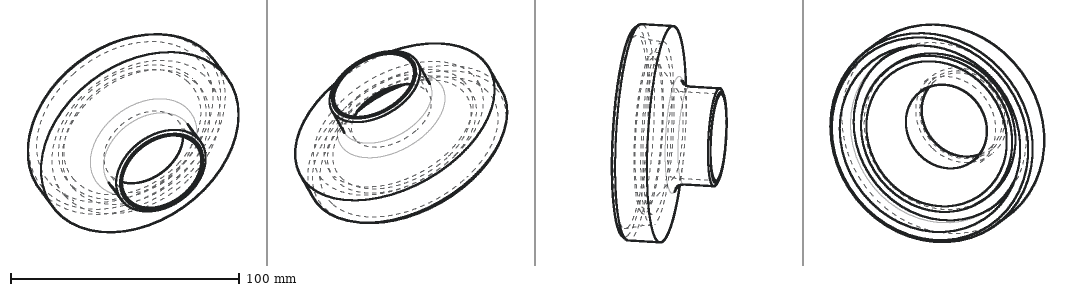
import cadquery as cq
import math

length = 39.0
rim_radius = 95 / 2
rim_end = 16.0
rim_chamfer_length = 1.8
rim_chamfer_depth = 1.4

hub_radius = 43.0 / 2
hub_chamfer_length = 0.8
hub_chamfer_depth = 1.5
back_angle = math.radians(10.5)
root_fillet = 5.0

mouth_radius = 42.4
recess_radius = 80.8 / 2
seat_outer_radius = 71.0 / 2
seat_inner_radius = 33.0
seat_depth = 8.0
floor_depth = 11.9

bore_radius = 38 / 2
funnel_end = 19.8

root_x = rim_end + (rim_radius - hub_radius) * math.tan(back_angle)

half_section = [
    (0, rim_radius - rim_chamfer_depth),
    (rim_chamfer_length, rim_radius),
    (rim_end, rim_radius),
    (root_x, hub_radius),
    (length - hub_chamfer_length, hub_radius),
    (length, hub_radius - hub_chamfer_depth),
    (length, bore_radius),
    (funnel_end, bore_radius),
    (seat_depth, seat_inner_radius),
    (seat_depth, seat_outer_radius),
    (floor_depth, seat_outer_radius),
    (floor_depth, recess_radius),
    (seat_depth, recess_radius),
    (0, mouth_radius),
]

body = (
    cq.Workplane("XY")
    .polyline(half_section)
    .close()
    .revolve(360, (0, 0, 0), (1, 0, 0))
)

edge_margin = 0.1
root_zone = cq.selectors.BoxSelector(
    (root_x - edge_margin, -rim_radius, -rim_radius),
    (root_x + edge_margin, rim_radius, rim_radius),
    boundingbox=True,
)
result = body.edges(root_zone).fillet(root_fillet)